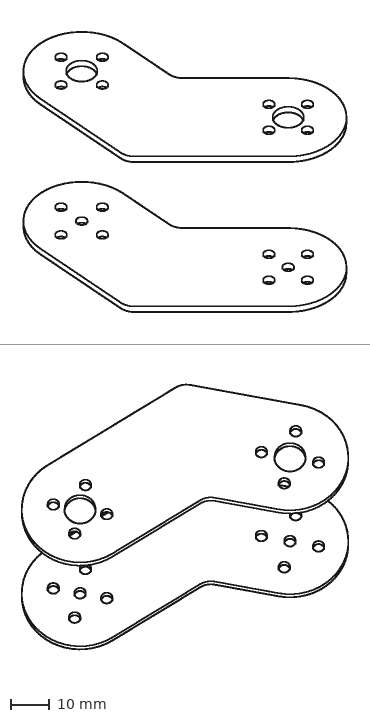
import cadquery as cq
import math

end_radius = 15.0
level_arm_length = 25.0
rise = 25.0
arm_angle = math.radians(45.0)
elbow_fillet = 5.0

plate_thickness = 2.0
plate_gap = 50.0

screw_hole_diameter = 3.0
shaft_hole_diameter = 3.0
bearing_hole_diameter = 8.0
level_end_hole_offset = 7.5
sloping_end_hole_offset = 7.0
holes_per_end = 4

level_end = (0.0, 0.0)
sloping_end = (level_arm_length + rise / math.tan(arm_angle), rise)

across_x = -math.sin(arm_angle)
across_y = math.cos(arm_angle)

corner_shift = end_radius * math.tan(arm_angle / 2)


def sloping_end_point(distance_across):
    return (
        sloping_end[0] + distance_across * across_x,
        sloping_end[1] + distance_across * across_y,
    )


def plate_blank():
    tip = (
        sloping_end[0] + end_radius * math.cos(arm_angle),
        sloping_end[1] + end_radius * math.sin(arm_angle),
    )
    inner_corner = (level_arm_length - corner_shift, end_radius)
    outer_corner = (level_arm_length + corner_shift, -end_radius)
    blank = (
        cq.Workplane("XY")
        .moveTo(0, -end_radius)
        .lineTo(*outer_corner)
        .lineTo(*sloping_end_point(-end_radius))
        .threePointArc(tip, sloping_end_point(end_radius))
        .lineTo(*inner_corner)
        .lineTo(0, end_radius)
        .threePointArc((-end_radius, 0), (0, -end_radius))
        .close()
        .extrude(plate_thickness)
    )
    for corner in (inner_corner, outer_corner):
        corner_edge = cq.selectors.NearestToPointSelector((*corner, plate_thickness / 2))
        blank = blank.edges("|Z").edges(corner_edge).fillet(elbow_fillet)
    return blank


def hole_cutters(centers, diameter):
    return cq.Workplane("XY").pushPoints(centers).circle(diameter / 2).extrude(plate_thickness)


def screw_hole_centers(end, offset):
    angles = [2 * math.pi * i / holes_per_end for i in range(holes_per_end)]
    return [(end[0] + offset * math.cos(a), end[1] + offset * math.sin(a)) for a in angles]


def plate(center_hole_diameter, base_height):
    screw_holes = screw_hole_centers(level_end, level_end_hole_offset)
    screw_holes += screw_hole_centers(sloping_end, sloping_end_hole_offset)
    return (
        plate_blank()
        .cut(hole_cutters(screw_holes, screw_hole_diameter))
        .cut(hole_cutters([level_end, sloping_end], center_hole_diameter))
        .translate((0, 0, base_height))
        .solids()
    )


lower_plate = plate(shaft_hole_diameter, 0)
upper_plate = plate(bearing_hole_diameter, plate_thickness + plate_gap)

result = cq.Compound.makeCompound([lower_plate.val(), upper_plate.val()])